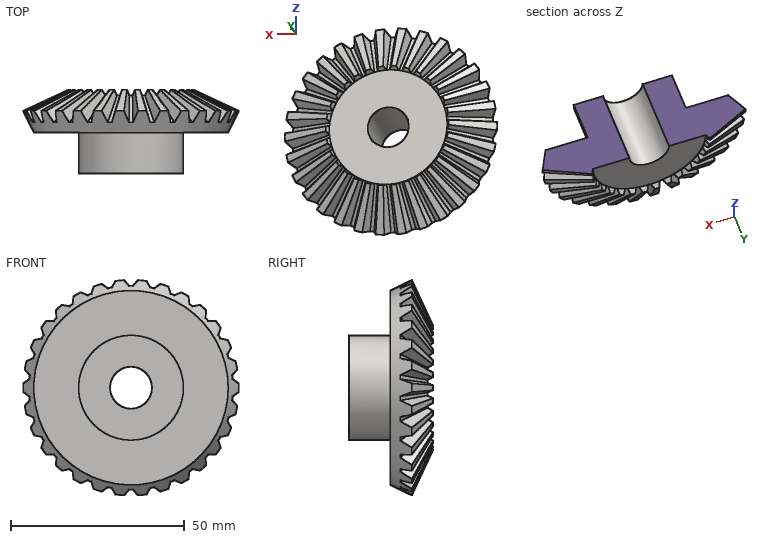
import cadquery as cq
import math

tooth_count = 30
bore_diameter = 12.0
hub_diameter = 30.2
back_diameter = 56.0
tip_diameter = 62.2
inner_tip_diameter = 36.0

hub_length = 11.85
root_y = 14.77
tip_y = 18.1
front_y = 22.66
total_length = 24.2

gap_top_width = 4.03
gap_floor_width = 1.18
inner_gap_top_width = 2.32
inner_gap_floor_width = 0.84

tip_radius = tip_diameter / 2
inner_tip_radius = inner_tip_diameter / 2
back_radius = back_diameter / 2

back_slope = (tip_radius - back_radius) / (tip_y - hub_length)
root_radius = back_radius + back_slope * (root_y - hub_length)

front_radius = inner_tip_radius - back_slope * (total_length - front_y)

end_overshoot = 0.2
top_overshoot = 0.5


def gear_blank():
    """Hub and toothless disc, revolved about the Y axis."""
    profile = [
        (0, 0),
        (hub_diameter / 2, 0),
        (hub_diameter / 2, hub_length),
        (back_radius, hub_length),
        (tip_radius, tip_y),
        (inner_tip_radius, total_length),
        (front_radius, front_y),
        (0, front_y),
    ]
    return cq.Workplane("XY").polyline(profile).close().revolve(360, (0, 0, 0), (0, 1, 0))


def gap_corners(floor_y, floor_radius, floor_width, tip_end_y, tip_end_radius, top_width):
    """Corners of a trapezoidal gap section centred on +Z, extended above the tooth tips."""
    floor_half = floor_width / 2
    top_half = top_width / 2
    corner_z = math.sqrt(tip_end_radius**2 - top_half**2)
    floor_right = cq.Vector(floor_half, floor_y, floor_radius)
    tip_right = cq.Vector(top_half, tip_end_y, corner_z)
    top_right = tip_right + (tip_right - floor_right) * top_overshoot
    floor_left = cq.Vector(-floor_half, floor_y, floor_radius)
    top_left = cq.Vector(-top_right.x, top_right.y, top_right.z)
    return [floor_left, floor_right, top_right, top_left]


def tooth_gaps():
    """One tapered gap centred on +Z, repeated around the Y axis."""
    outer = gap_corners(root_y, root_radius, gap_floor_width, tip_y, tip_radius, gap_top_width)
    inner = gap_corners(
        front_y, front_radius, inner_gap_floor_width,
        total_length, inner_tip_radius, inner_gap_top_width,
    )
    outer_end = [big + (big - small) * end_overshoot for big, small in zip(outer, inner)]
    inner_end = [small + (small - big) * end_overshoot for big, small in zip(outer, inner)]
    sections = [cq.Wire.makePolygon(corners, close=True) for corners in (outer_end, inner_end)]
    gap = cq.Solid.makeLoft(sections, True)
    pitch_angle = 360 / tooth_count
    return [
        gap.rotate(cq.Vector(0, 0, 0), cq.Vector(0, 1, 0), index * pitch_angle)
        for index in range(tooth_count)
    ]


def bore():
    """Through hole along the Y axis."""
    return cq.Solid.makeCylinder(
        bore_diameter / 2, total_length, cq.Vector(0, 0, 0), cq.Vector(0, 1, 0)
    )


toothed_body = gear_blank().val().cut(bore(), *tooth_gaps())
result = cq.Workplane("XY").newObject(toothed_body.Solids())